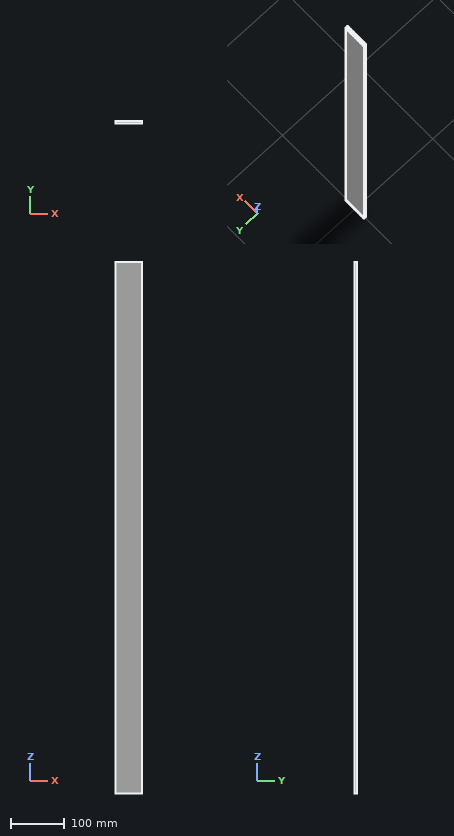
import cadquery as cq

width = 50.0
thickness = 5.0
length = 1000.0

result = cq.Workplane("XY").box(width, thickness, length)